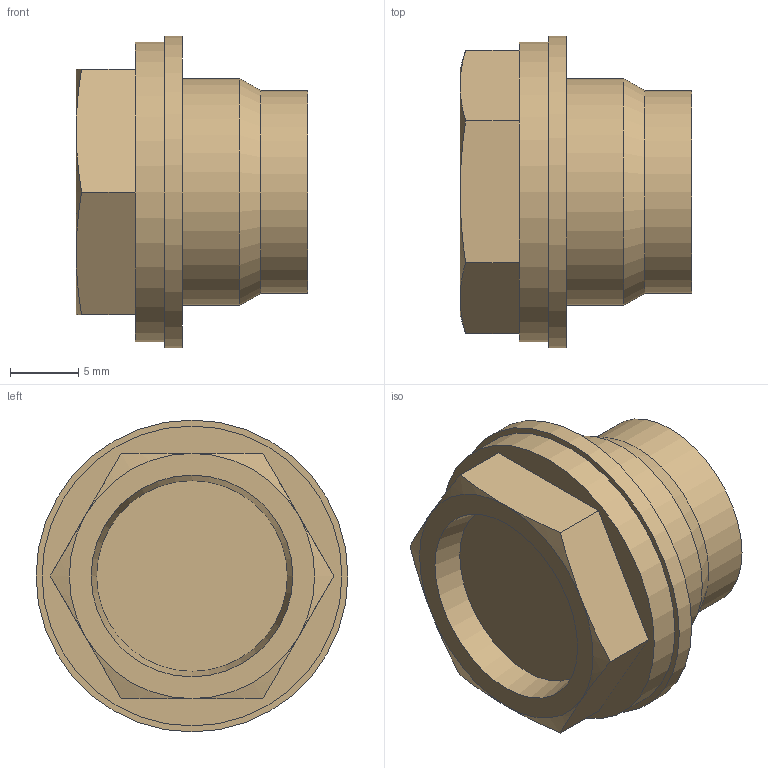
import cadquery as cq
import math

TOTAL_LENGTH = 17.0
HEAD_START = -TOTAL_LENGTH / 2

HEX_SIDES = 6
HEX_ACROSS_FLATS = 18.0
HEX_ACROSS_CORNERS = HEX_ACROSS_FLATS / math.cos(math.pi / HEX_SIDES)
HEX_LENGTH = 4.35
CHAMFER_DEPTH = 0.4

SHOULDER_DIAMETER = 22.0
SHOULDER_LENGTH = 2.15
FLANGE_DIAMETER = 22.88
FLANGE_LENGTH = 1.3
BODY_DIAMETER = 16.66
BODY_LENGTH = 4.2
TAPER_LENGTH = 1.55
SPIGOT_DIAMETER = 14.9

RECESS_MOUTH_DIAMETER = 14.8
RECESS_FLOOR_DIAMETER = 14.0
RECESS_DEPTH = 2.17


def revolve_about_x(points):
    """Revolve a closed (x, radius) outline about the X axis."""
    return cq.Workplane("XY").polyline(points).close().revolve(360, (0, 0, 0), (1, 0, 0))


def hexagon_head():
    """Hexagon with corners on +Y and -Y, its front corners cut by a cone."""
    prism = (
        cq.Workplane("YZ", origin=(HEAD_START, 0, 0))
        .polygon(HEX_SIDES, HEX_ACROSS_CORNERS)
        .extrude(HEX_LENGTH)
    )
    corner_radius = HEX_ACROSS_CORNERS / 2
    chamfer_end = HEAD_START + CHAMFER_DEPTH
    head_end = HEAD_START + HEX_LENGTH
    envelope = revolve_about_x([
        (HEAD_START, 0),
        (HEAD_START, HEX_ACROSS_FLATS / 2),
        (chamfer_end, corner_radius),
        (head_end, corner_radius),
        (head_end, 0),
    ])
    return prism.intersect(envelope)


def turned_steps():
    """Shoulder, flange, body, taper and spigot as one revolved outline."""
    shoulder_start = HEAD_START + HEX_LENGTH
    flange_start = shoulder_start + SHOULDER_LENGTH
    body_start = flange_start + FLANGE_LENGTH
    taper_start = body_start + BODY_LENGTH
    spigot_start = taper_start + TAPER_LENGTH
    spigot_end = HEAD_START + TOTAL_LENGTH
    return revolve_about_x([
        (shoulder_start, 0),
        (shoulder_start, SHOULDER_DIAMETER / 2),
        (flange_start, SHOULDER_DIAMETER / 2),
        (flange_start, FLANGE_DIAMETER / 2),
        (body_start, FLANGE_DIAMETER / 2),
        (body_start, BODY_DIAMETER / 2),
        (taper_start, BODY_DIAMETER / 2),
        (spigot_start, SPIGOT_DIAMETER / 2),
        (spigot_end, SPIGOT_DIAMETER / 2),
        (spigot_end, 0),
    ])


def head_recess():
    """Conical pocket that narrows from the head face to a flat floor."""
    floor = HEAD_START + RECESS_DEPTH
    return revolve_about_x([
        (HEAD_START, 0),
        (HEAD_START, RECESS_MOUTH_DIAMETER / 2),
        (floor, RECESS_FLOOR_DIAMETER / 2),
        (floor, 0),
    ])


result = hexagon_head().union(turned_steps()).cut(head_recess())